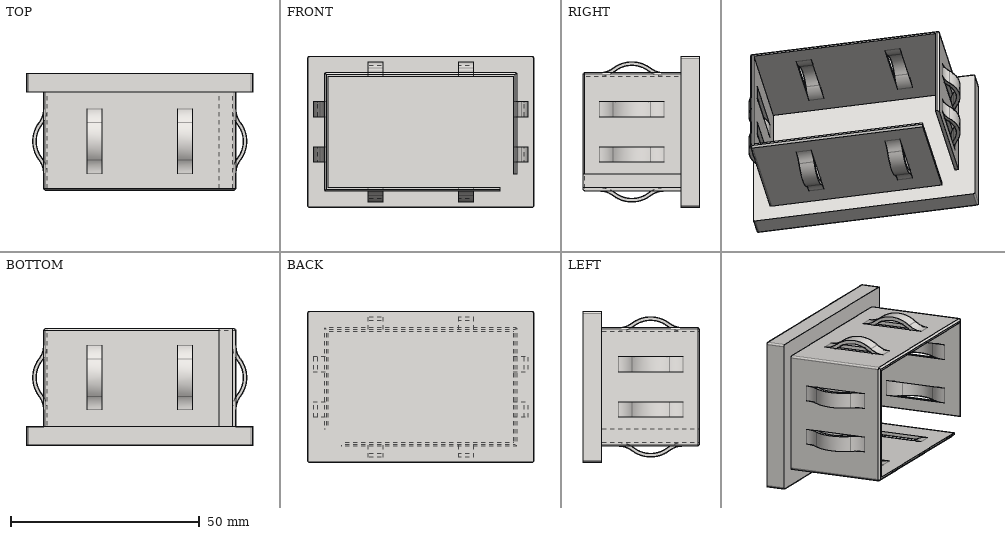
import cadquery as cq
import math

plate_width = 60.0
plate_height = 40.0
plate_thickness = 5.0
plate_corner_radius = 0.5

sleeve_width = 51.05
sleeve_height = 31.45
sleeve_depth = 26.05
wall = 0.95
sleeve_edge_radius = 0.5
mouth_chamfer = 0.5
corner_gap = 4.5

spring_width = 4.1
spring_half_length = 8.5
spring_crest_half_length = 5.0
spring_rise = 2.9
spring_x = 12.0
spring_z = 6.0

slope = 2 * math.atan(spring_rise / spring_half_length)
crest_radius = spring_crest_half_length / math.sin(slope)
foot_radius = (spring_half_length - spring_crest_half_length) / math.sin(slope)
crest_center = spring_rise - crest_radius


def arc_point(center, radius, angle):
    """Point on a circle, with the angle measured from the outward direction."""
    return (center[0] + radius * math.sin(angle), center[1] + radius * math.cos(angle))


def make_plate():
    plate = cq.Workplane("XY").box(
        plate_width, plate_thickness, plate_height, centered=(True, False, True)
    )
    return plate.edges("|Y").fillet(plate_corner_radius)


def make_sleeve():
    block = cq.Workplane("XY").box(sleeve_width, sleeve_depth, sleeve_height)
    rounded = block.edges("|Y").fillet(sleeve_edge_radius)
    sleeve = rounded.intersect(block.faces("<Y").edges().chamfer(mouth_chamfer))
    bore = cq.Workplane("XY").box(
        sleeve_width - 2 * wall, sleeve_depth, sleeve_height - 2 * wall
    )
    gap = cq.Workplane("XY").box(2 * corner_gap, sleeve_depth, 2 * corner_gap).translate(
        (sleeve_width / 2, 0, -sleeve_height / 2)
    )
    return sleeve.cut(bore).cut(gap).translate((0, -sleeve_depth / 2, 0))


def make_spring():
    """Strip along Y that bows toward +Z, its outer ends flush with Z = 0."""
    crest = (0, crest_center)
    foot_right = (spring_half_length, foot_radius)
    foot_left = (-spring_half_length, foot_radius)
    crest_inner = crest_radius - wall
    foot_inner = foot_radius + wall
    down = math.pi
    profile = (
        cq.Workplane("YZ")
        .moveTo(-spring_half_length, 0)
        .threePointArc(
            arc_point(foot_left, foot_radius, down - slope / 2),
            arc_point(foot_left, foot_radius, down - slope),
        )
        .threePointArc(
            arc_point(crest, crest_radius, 0), arc_point(crest, crest_radius, slope)
        )
        .threePointArc(
            arc_point(foot_right, foot_radius, down + slope / 2), (spring_half_length, 0)
        )
        .lineTo(spring_half_length, -wall)
        .threePointArc(
            arc_point(foot_right, foot_inner, down + slope / 2),
            arc_point(foot_right, foot_inner, down + slope),
        )
        .threePointArc(
            arc_point(crest, crest_inner, 0), arc_point(crest, crest_inner, -slope)
        )
        .threePointArc(
            arc_point(foot_left, foot_inner, down - slope / 2), (-spring_half_length, -wall)
        )
        .close()
    )
    return profile.extrude(spring_width / 2, both=True)


def make_slot():
    """Opening in the wall that the strip fills only at its two ends."""
    return cq.Workplane("XY").box(
        spring_width, 2 * spring_half_length, wall, centered=(True, True, False)
    ).translate((0, 0, -wall))


def place(shape, offset, reach, turn):
    """Move a shape out to a wall, then turn it about Y to face that wall's side."""
    moved = shape.translate((offset, -sleeve_depth / 2, reach))
    return moved.rotate((0, 0, 0), (0, 1, 0), turn)


result = make_sleeve()
spring = make_spring()
slot = make_slot()
walls = [
    (0, sleeve_height / 2, spring_x),
    (90, sleeve_width / 2, spring_z),
    (180, sleeve_height / 2, spring_x),
    (270, sleeve_width / 2, spring_z),
]
for turn, reach, spacing in walls:
    for offset in (-spacing, spacing):
        result = result.cut(place(slot, offset, reach, turn))
        result = result.union(place(spring, offset, reach, turn))
result = result.union(make_plate())